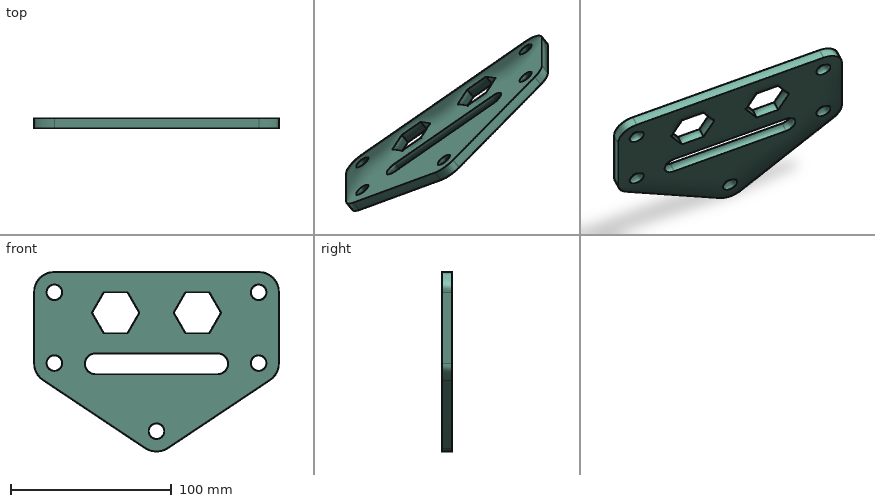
import cadquery as cq
import math

width = 152.4
side_height = 63.5
sharp_height = 114.3
thickness = 6.35
corner_radius = 12.7

slope_angle = math.atan2(sharp_height - side_height, width / 2)
tip_centre_rise = corner_radius / math.cos(slope_angle)
rounded_height = sharp_height - tip_centre_rise + corner_radius
top_z = rounded_height / 2
shoulder_z = top_z - side_height
tip_z = top_z - sharp_height

hole_diameter = 9.525
hole_x = width / 2 - corner_radius
upper_hole_z = top_z - corner_radius
shoulder_half_angle = (math.pi / 2 - slope_angle) / 2
lower_hole_z = shoulder_z + corner_radius * math.tan(shoulder_half_angle)
tip_hole_z = tip_z + tip_centre_rise

hex_across_flats = 25.4
hex_across_corners = hex_across_flats / math.cos(math.pi / 6)
hex_pitch = 50.8
hex_depth = 25.4
hex_z = top_z - hex_depth

slot_length = 88.9
slot_width = 12.7
slot_depth = 57.15
slot_z = top_z - slot_depth


def back_plane():
    """Sketch plane on the back face; extrusions run toward -Y through the plate."""
    return cq.Workplane("XZ", origin=(0, thickness / 2, 0))


def plate():
    outline = [
        (-width / 2, top_z),
        (width / 2, top_z),
        (width / 2, shoulder_z),
        (0, tip_z),
        (-width / 2, shoulder_z),
    ]
    blank = back_plane().polyline(outline).close().extrude(thickness)
    return blank.edges("|Y").fillet(corner_radius)


def mounting_holes():
    centres = [
        (-hole_x, upper_hole_z),
        (hole_x, upper_hole_z),
        (-hole_x, lower_hole_z),
        (hole_x, lower_hole_z),
        (0, tip_hole_z),
    ]
    return back_plane().pushPoints(centres).circle(hole_diameter / 2).extrude(thickness)


def hex_windows():
    centres = [(-hex_pitch / 2, hex_z), (hex_pitch / 2, hex_z)]
    return back_plane().pushPoints(centres).polygon(6, hex_across_corners).extrude(thickness)


def slot():
    return back_plane().center(0, slot_z).slot2D(slot_length, slot_width).extrude(thickness)


result = plate().cut(mounting_holes()).cut(hex_windows()).cut(slot())